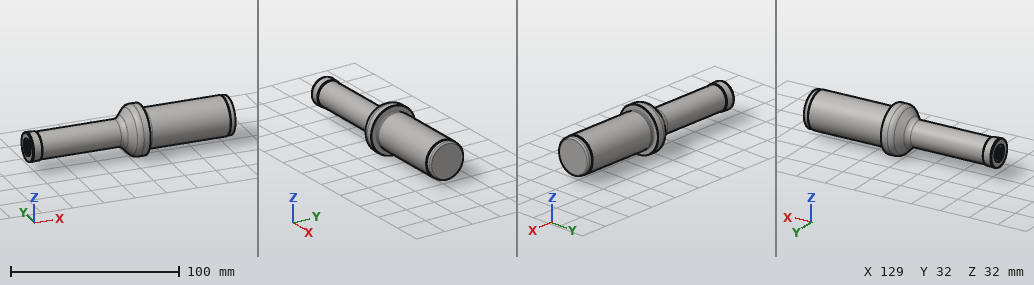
import cadquery as cq
import math

TOTAL_LENGTH = 129.0

HEAD_LENGTH = 6.6
HEAD_RADIUS = 9.2
HEAD_REAR_RADIUS = 8.9
FRONT_BEVEL_LENGTH = 0.9
FRONT_BEVEL_HEIGHT = 0.3
REAR_BEVEL_LENGTH = 0.6

RECESS_RADIUS = 5.4
RECESS_FLOOR_RADIUS = 5.2
BOSS_RADIUS = 3.7
SOCKET_MOUTH_RADIUS = 3.0
SOCKET_FLOOR_RADIUS = 2.2
RECESS_DEPTH = 0.4
BORE_RADIUS = 0.8
BORE_MOUTH_RADIUS = 1.0
BORE_MOUTH_DEPTH = 0.3
BORE_DEPTH = 1.3

NECK_RADIUS = 17.0 / 2
FLANGE_RADIUS = 32.0 / 2
NECK_END = 56.8
FLANGE_START = 68.4
FLANGE_END = 72.9
FLARE_RADIUS = 5.2
FLANGE_BEVEL_LENGTH = 0.4
FLANGE_BEVEL_HEIGHT = 0.3

SHANK_RADIUS = 25.0 / 2
RELIEF_RADIUS = 24.5 / 2
RELIEF_FILLET = 0.3
RELIEF_END = 74.0
SHANK_START = 75.2
SHANK_END = 125.1
TAIL_START = 125.8
TAIL_FILLET = 1.0


def revolve_about_x(profile):
    """Turn a closed profile, drawn as (x, radius), into a solid."""
    return profile.close().revolve(360, (0, 0, 0), (1, 0, 0))


def make_head():
    """Tapered head with an annular recess around a boss, and a conical socket and a bore in its front face."""
    bore_floor = RECESS_DEPTH + BORE_DEPTH
    profile = (
        cq.Workplane("XY")
        .moveTo(bore_floor, 0)
        .lineTo(bore_floor, BORE_RADIUS)
        .lineTo(RECESS_DEPTH + BORE_MOUTH_DEPTH, BORE_RADIUS)
        .lineTo(RECESS_DEPTH, BORE_MOUTH_RADIUS)
        .lineTo(RECESS_DEPTH, SOCKET_FLOOR_RADIUS)
        .lineTo(0, SOCKET_MOUTH_RADIUS)
        .lineTo(0, BOSS_RADIUS)
        .lineTo(RECESS_DEPTH, BOSS_RADIUS)
        .lineTo(RECESS_DEPTH, RECESS_FLOOR_RADIUS)
        .lineTo(0, RECESS_RADIUS)
        .lineTo(0, HEAD_RADIUS - FRONT_BEVEL_HEIGHT)
        .lineTo(FRONT_BEVEL_LENGTH, HEAD_RADIUS)
        .lineTo(HEAD_LENGTH - REAR_BEVEL_LENGTH, HEAD_REAR_RADIUS)
        .lineTo(HEAD_LENGTH, NECK_RADIUS)
        .lineTo(HEAD_LENGTH, 0)
    )
    return revolve_about_x(profile)


def flare_angle():
    """Slope of the straight line tangent to both flare arcs."""
    run = FLANGE_START - NECK_END
    drop = NECK_RADIUS - FLANGE_RADIUS + 2 * FLARE_RADIUS
    centre_distance = math.hypot(run, drop)
    return math.asin(2 * FLARE_RADIUS / centre_distance) - math.atan2(drop, run)


def arc_offset(angle):
    """Axial and radial travel along a flare arc that starts parallel to the axis."""
    return FLARE_RADIUS * math.sin(angle), FLARE_RADIUS * (1 - math.cos(angle))


def make_holder():
    """Neck, flared flange and shank, with a flat front seat for the head."""
    angle = flare_angle()
    half_run, half_rise = arc_offset(angle / 2)
    full_run, full_rise = arc_offset(angle)
    fillet_middle = RELIEF_FILLET * (1 - math.sqrt(0.5))
    tail_middle = TAIL_FILLET * (1 - math.sqrt(0.5))
    profile = (
        cq.Workplane("XY")
        .moveTo(HEAD_LENGTH, 0)
        .lineTo(HEAD_LENGTH, NECK_RADIUS)
        .lineTo(NECK_END, NECK_RADIUS)
        .threePointArc(
            (NECK_END + half_run, NECK_RADIUS + half_rise),
            (NECK_END + full_run, NECK_RADIUS + full_rise),
        )
        .lineTo(FLANGE_START - full_run, FLANGE_RADIUS - full_rise)
        .threePointArc(
            (FLANGE_START - half_run, FLANGE_RADIUS - half_rise),
            (FLANGE_START, FLANGE_RADIUS),
        )
        .lineTo(FLANGE_END - FLANGE_BEVEL_LENGTH, FLANGE_RADIUS)
        .lineTo(FLANGE_END, FLANGE_RADIUS - FLANGE_BEVEL_HEIGHT)
        .lineTo(FLANGE_END, RELIEF_RADIUS + RELIEF_FILLET)
        .threePointArc(
            (FLANGE_END + fillet_middle, RELIEF_RADIUS + fillet_middle),
            (FLANGE_END + RELIEF_FILLET, RELIEF_RADIUS),
        )
        .lineTo(RELIEF_END, RELIEF_RADIUS)
        .lineTo(SHANK_START, SHANK_RADIUS)
        .lineTo(SHANK_END, SHANK_RADIUS)
        .lineTo(TAIL_START, RELIEF_RADIUS)
        .lineTo(TOTAL_LENGTH - TAIL_FILLET, RELIEF_RADIUS)
        .threePointArc(
            (TOTAL_LENGTH - tail_middle, RELIEF_RADIUS - tail_middle),
            (TOTAL_LENGTH, RELIEF_RADIUS - TAIL_FILLET),
        )
        .lineTo(TOTAL_LENGTH, 0)
    )
    return revolve_about_x(profile)


head = make_head()
holder = make_holder()

result = cq.Compound.makeCompound([head.val(), holder.val()])